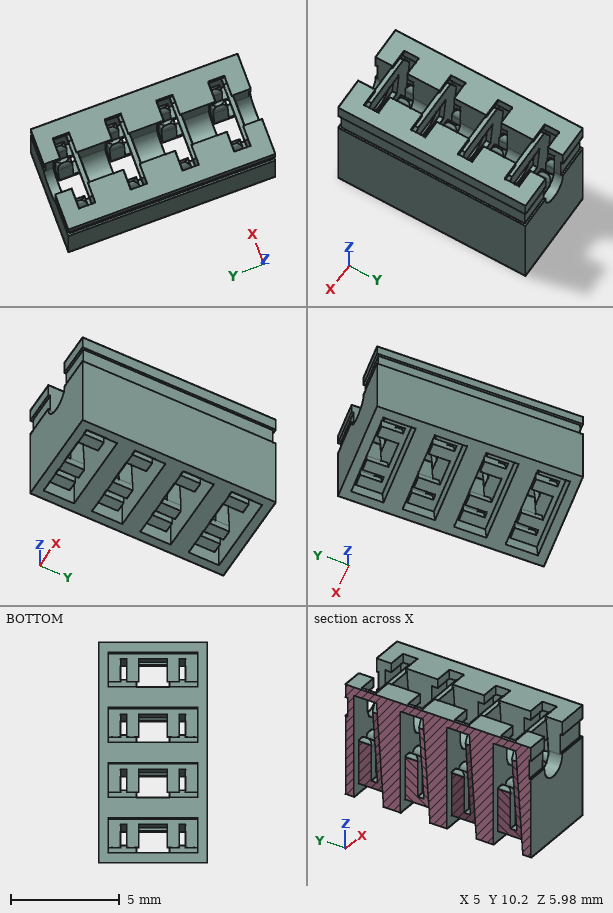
import cadquery as cq


WIDTH = 5.0
LENGTH = 10.16
HEIGHT = 5.98
FRONT_Y = -LENGTH / 2
GROOVE_BOTTOM = 4.27
GROOVE_TOP = 5.26
GROOVE_DEPTH = 0.1

SLOT_WIDTH = 1.5
SLOT_FLOOR = 3.43

CONTACT_COUNT = 4
PITCH = LENGTH / CONTACT_COUNT
POCKET_WIDTH = 3.5
POCKET_FRONT = 0.93
POCKET_BACK = 1.73
CHAMBER_HALF_WIDTH = 2.05
CHAMBER_BACK = 2.06
CHAMBER_TOP = 5.51

PLATE_TOP = 5.82
PLATE_BOTTOM = 0.81
PLATE_TOP_FRONT = 0.87
PLATE_LEAN = 0.07
PLATE_THICKNESS = 0.24
PLATE_TOP_HALF_WIDTH = 1.39
PLATE_CORNER_DROP = 1.12
WINDOW_HALF_WIDTH = 1.12
WINDOW_TOP = 4.82
WINDOW_BOTTOM = 3.15

FINGER_FRONT = 1.12
FINGER_BACK = 1.83
FINGER_TOP = 3.35
FINGER_CORNER_RADIUS = 0.28
FOOT_TOP = 1.22
FINGER_FOOT_X = 0.65
BEND_START = (0.78, 2.98)
BEND_MIDDLE = (0.79, 3.08)
BEND_END = (0.83, 3.18)
FINGER_TIP_X = 0.95
PIN_FACE_X = 1.21
LEAD_IN_BOTTOM = 2.95
LEAD_IN_BULGE = 0.05
OUTER_LEAD_IN_SETBACK = 0.05
PIN_X = (FINGER_FOOT_X + CHAMBER_HALF_WIDTH) / 2

OVERCUT = 0.1


def span_box(x_range, y_range, z_range):
    """Axis-aligned box between the given limits."""
    (x0, x1), (y0, y1), (z0, z1) = x_range, y_range, z_range
    return cq.Workplane("XY").box(x1 - x0, y1 - y0, z1 - z0, centered=False).translate((x0, y0, z0))


def plate_front(z):
    """Y of the plate's leaning front face at height z."""
    return PLATE_TOP_FRONT - PLATE_LEAN * (PLATE_TOP - z)


def extrude_across(points, half_width):
    """Solid with the given (Y, Z) outline, centred across X."""
    return cq.Workplane("YZ").polyline(points).close().extrude(half_width, both=True)


def make_row_cavity():
    """Opening for one contact: pocket in the top, chamber below it, and recess for the plate's top."""
    half_pocket = POCKET_WIDTH / 2
    pocket = span_box(
        (-half_pocket, half_pocket), (POCKET_FRONT, POCKET_BACK), (CHAMBER_TOP - OVERCUT, HEIGHT + OVERCUT)
    )
    chamber = extrude_across(
        [
            (plate_front(-OVERCUT), -OVERCUT),
            (CHAMBER_BACK, -OVERCUT),
            (CHAMBER_BACK, CHAMBER_TOP),
            (plate_front(CHAMBER_TOP), CHAMBER_TOP),
        ],
        CHAMBER_HALF_WIDTH,
    )
    plate_recess = extrude_across(
        [
            (plate_front(CHAMBER_TOP - OVERCUT), CHAMBER_TOP - OVERCUT),
            (POCKET_BACK, CHAMBER_TOP - OVERCUT),
            (POCKET_BACK, PLATE_TOP),
            (plate_front(PLATE_TOP), PLATE_TOP),
        ],
        half_pocket,
    )
    return pocket.union(chamber).union(plate_recess)


def make_housing():
    body = cq.Workplane("XY").box(WIDTH, LENGTH, HEIGHT, centered=(True, True, False))

    groove_height = GROOVE_TOP - GROOVE_BOTTOM
    groove_plane = cq.Workplane("XY").workplane(offset=GROOVE_BOTTOM)
    groove = (
        groove_plane.rect(WIDTH + OVERCUT, LENGTH + OVERCUT)
        .rect(WIDTH - 2 * GROOVE_DEPTH, LENGTH - 2 * GROOVE_DEPTH)
        .extrude(groove_height)
    )
    body = body.cut(groove)

    slot_radius = SLOT_WIDTH / 2
    slot_centre_z = SLOT_FLOOR + slot_radius
    slot = (
        cq.Workplane("XZ")
        .moveTo(-slot_radius, HEIGHT + OVERCUT)
        .lineTo(-slot_radius, slot_centre_z)
        .threePointArc((0, SLOT_FLOOR), (slot_radius, slot_centre_z))
        .lineTo(slot_radius, HEIGHT + OVERCUT)
        .close()
        .extrude(LENGTH / 2 + OVERCUT, both=True)
    )
    body = body.cut(slot)

    cavity = make_row_cavity()
    for row in range(CONTACT_COUNT):
        body = body.cut(cavity.translate((0, FRONT_Y + row * PITCH, 0)))
    return body


def make_plate():
    """Leaning plate with sloping top corners and a window that clears the slot."""
    slab = extrude_across(
        [
            (plate_front(PLATE_BOTTOM), PLATE_BOTTOM),
            (plate_front(PLATE_BOTTOM) + PLATE_THICKNESS, PLATE_BOTTOM),
            (plate_front(PLATE_TOP) + PLATE_THICKNESS, PLATE_TOP),
            (plate_front(PLATE_TOP), PLATE_TOP),
        ],
        CHAMBER_HALF_WIDTH,
    )
    outline = (
        cq.Workplane("XZ")
        .polyline(
            [
                (-CHAMBER_HALF_WIDTH, PLATE_BOTTOM),
                (CHAMBER_HALF_WIDTH, PLATE_BOTTOM),
                (CHAMBER_HALF_WIDTH, PLATE_TOP - PLATE_CORNER_DROP),
                (PLATE_TOP_HALF_WIDTH, PLATE_TOP),
                (-PLATE_TOP_HALF_WIDTH, PLATE_TOP),
                (-CHAMBER_HALF_WIDTH, PLATE_TOP - PLATE_CORNER_DROP),
            ]
        )
        .close()
        .extrude(-PITCH)
    )
    window = span_box((-WINDOW_HALF_WIDTH, WINDOW_HALF_WIDTH), (0, PITCH), (WINDOW_BOTTOM, WINDOW_TOP))
    return slab.intersect(outline).cut(window)


def make_finger(lead_in_setback):
    """Spring finger between the block's middle and the pin on the +X side.

    lead_in_setback is how far the curved lead-in stops short of the face against the pin.
    """
    lead_in_end_x = PIN_FACE_X - lead_in_setback
    lead_in_middle = (
        (FINGER_TIP_X + lead_in_end_x) / 2 + LEAD_IN_BULGE,
        (FINGER_TOP + LEAD_IN_BOTTOM) / 2 + LEAD_IN_BULGE,
    )
    profile = (
        cq.Workplane("XZ")
        .moveTo(FINGER_FOOT_X, PLATE_BOTTOM)
        .lineTo(FINGER_FOOT_X, FOOT_TOP)
        .lineTo(*BEND_START)
        .threePointArc(BEND_MIDDLE, BEND_END)
        .lineTo(FINGER_TIP_X, FINGER_TOP)
        .threePointArc(lead_in_middle, (lead_in_end_x, LEAD_IN_BOTTOM))
        .lineTo(PIN_FACE_X, FOOT_TOP)
        .lineTo(PIN_FACE_X, PLATE_BOTTOM)
        .close()
        .extrude(-PITCH)
    )
    rounded_blank = (
        span_box((0, WIDTH / 2), (FINGER_FRONT, FINGER_BACK), (PLATE_BOTTOM, FINGER_TOP))
        .edges("|X and >Z")
        .fillet(FINGER_CORNER_RADIUS)
    )
    foot = span_box(
        (FINGER_FOOT_X, PIN_FACE_X),
        (plate_front(FOOT_TOP) + PLATE_THICKNESS / 2, FINGER_FRONT),
        (PLATE_BOTTOM, FOOT_TOP),
    )
    return profile.intersect(rounded_blank).union(foot)


def make_contact():
    inner = make_finger(0)
    outer = make_finger(OUTER_LEAD_IN_SETBACK).mirror("YZ").translate((2 * PIN_X, 0, 0))
    pair = inner.union(outer)
    return make_plate().union(pair).union(pair.mirror("YZ"))


housing = make_housing()
contact = make_contact()
contacts = [contact.translate((0, FRONT_Y + row * PITCH, 0)) for row in range(CONTACT_COUNT)]

result = cq.Compound.makeCompound([housing.val(), *[placed.val() for placed in contacts]])